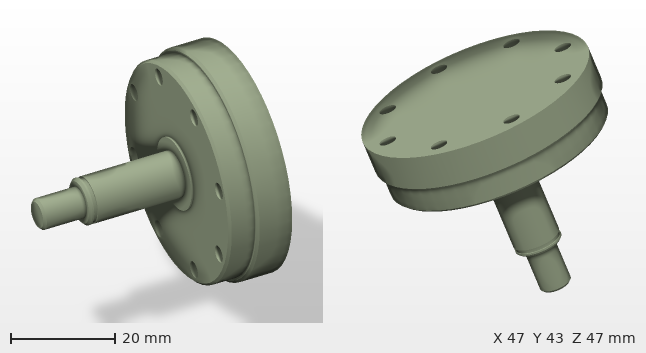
import cadquery as cq

flange_diameter = 47.0
total_length = 43.0

flange_length = 7.5
body_end = 13.0
boss_end = 13.5
groove_start = 32.3
groove_end = 33.1
shoulder_end = 34.0

body_diameter = 45.0
boss_diameter = 14.7
shaft_diameter = 9.5
groove_diameter = 9.0
tip_diameter = 6.35

edge_chamfer = 0.5

hole_count = 8
hole_diameter = 3.4
bolt_circle_diameter = 39.0
first_hole_angle = 180.0 / hole_count


def cylinder(diameter, start, end):
    """Solid cylinder on the axis between two distances from the back face."""
    return cq.Workplane("XZ", origin=(0, -start, 0)).circle(diameter / 2).extrude(end - start)


def chamfered_cylinder(diameter, start, end):
    """Cylinder with a chamfer around its front edge."""
    return cylinder(diameter, start, end).faces("<Y").chamfer(edge_chamfer)


flange = chamfered_cylinder(flange_diameter, 0, flange_length)
body = chamfered_cylinder(body_diameter, 0, body_end)
boss = cylinder(boss_diameter, 0, boss_end)

shaft = cylinder(shaft_diameter, 0, groove_start)
groove_floor = cylinder(groove_diameter, 0, groove_end)
collar = chamfered_cylinder(shaft_diameter, groove_end, shoulder_end)
tip = chamfered_cylinder(tip_diameter, 0, total_length)

holes = (
    cq.Workplane("XZ")
    .polarArray(bolt_circle_diameter / 2, first_hole_angle, 360, hole_count)
    .circle(hole_diameter / 2)
    .extrude(body_end)
)

result = flange
for section in (body, boss, shaft, groove_floor, collar, tip):
    result = result.union(section)
result = result.cut(holes)